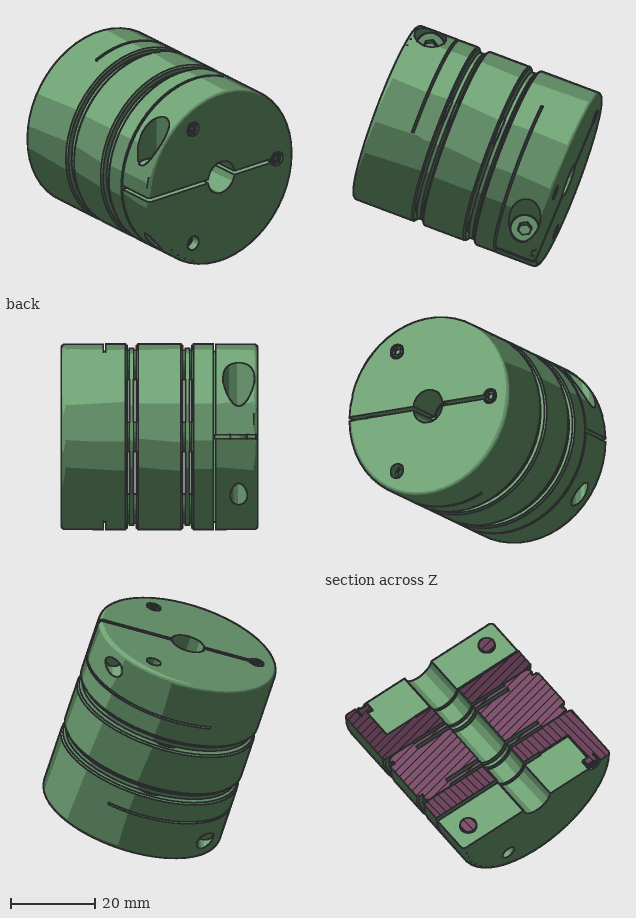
import cadquery as cq
import math

length = 46.6
outer_diameter = 44.0
bore_diameter = 8.0
fixing_radius = 17.0

spacer_half = 5.45
disc_inner = 6.15
disc_outer = 7.15
hub_inner = 7.7
hub_outer = length / 2

disc_diameter = 42.0
collar_diameter = 7.0
collar_count = 4
inner_chamfer = 0.4

end_fillet = 1.0
cross_slit_x = 13.05
cross_slit_width = 0.5
cross_slit_end = 8.65
jaw_slit_width = 1.0

clamp_x = 18.8
clamp_seat_z = 2.6
clamp_bore_diameter = 7.5
clamp_clearance_diameter = 4.5
clamp_thread_diameter = 4.0
clamp_head_diameter = 7.0
clamp_head_height = 4.0
clamp_head_chamfer = 0.2
clamp_shank_length = 12.0
clamp_hex_width = 3.0
clamp_hex_depth = 2.0

end_hole_diameter = 3.5
end_hole_depth = 2.5
end_tap_diameter = 2.45
plug_diameter = 3.0
plug_recess = 0.3
plug_chamfer = 0.2
plug_hex_width = 1.5
plug_hex_depth = 0.5
open_hole_angle = -120
plugs = [(120, 90), (0, 0)]


def x_cylinder(diameter, x_start, x_end, y=0, z=0):
    """Cylinder along X between two stations."""
    return cq.Workplane("YZ", origin=(x_start, y, z)).circle(diameter / 2).extrude(x_end - x_start)


def z_cylinder(diameter, z_start, z_end):
    """Cylinder along Z on the clamp screw axis of the +X hub."""
    base = cq.Workplane("XY", origin=(clamp_x, -fixing_radius, z_start))
    return base.circle(diameter / 2).extrude(z_end - z_start)


def hexagon(workplane, width, corner_angle, depth):
    """Hexagonal prism with the given width across flats."""
    corner_diameter = width / math.cos(math.radians(30))
    return workplane.transformed(rotate=(0, 0, corner_angle)).polygon(6, corner_diameter).extrude(depth)


def on_fixing_circle(angle):
    """Y and Z of a point on the fixing circle, with the angle counted from +Y towards +Z."""
    angle = math.radians(angle)
    return fixing_radius * math.cos(angle), fixing_radius * math.sin(angle)


def opposite(body):
    """Copy of a +X body for the -X end, turned half a turn about Z."""
    return body.rotate((0, 0, 0), (0, 0, 1), 180)


def make_center():
    """Spacer drum with a disc at each end, joined by collars that reach the hub faces."""
    body = x_cylinder(outer_diameter, -spacer_half, spacer_half).edges().chamfer(inner_chamfer)
    disc = x_cylinder(disc_diameter, disc_inner, disc_outer)
    body = body.union(disc).union(opposite(disc))
    for i in range(collar_count):
        y, z = on_fixing_circle(i * 360 / collar_count)
        body = body.union(x_cylinder(collar_diameter, -hub_inner, hub_inner, y, z))
    return body.cut(x_cylinder(bore_diameter, -hub_outer, hub_outer))


def cut_slits(hub):
    """Cross slit from the clamp side past the axis, and jaw slit from the end face to it."""
    cross_length = outer_diameter / 2 + cross_slit_end
    cross_slit = cq.Workplane("XY").box(cross_slit_width, cross_length, outer_diameter)
    cross_slit = cross_slit.translate((cross_slit_x, cross_slit_end - cross_length / 2, 0))
    jaw_length = outer_diameter / 2 + fixing_radius
    jaw_depth = hub_outer - cross_slit_x
    jaw_slit = cq.Workplane("XY").box(jaw_depth, jaw_length, jaw_slit_width)
    jaw_slit = jaw_slit.translate((hub_outer - jaw_depth / 2, fixing_radius - jaw_length / 2, 0))
    return hub.cut(cross_slit).cut(jaw_slit)


def cut_clamp_hole(hub):
    """Head bore from above, clearance hole down to the jaw slit, threaded hole below it."""
    hub = hub.cut(z_cylinder(clamp_bore_diameter, clamp_seat_z, outer_diameter / 2))
    hub = hub.cut(z_cylinder(clamp_clearance_diameter, 0, clamp_seat_z))
    return hub.cut(z_cylinder(clamp_thread_diameter, -outer_diameter / 2, 0))


def end_hole(angle):
    y, z = on_fixing_circle(angle)
    return x_cylinder(end_hole_diameter, hub_outer - end_hole_depth, hub_outer, y, z)


def screw_plug(angle, corner_angle):
    """Fixed screw that stands in an end hole, with a hexagon socket."""
    y, z = on_fixing_circle(angle)
    face_x = hub_outer - plug_recess
    plug = x_cylinder(plug_diameter, hub_outer - end_hole_depth, face_x, y, z)
    plug = plug.faces(">X").chamfer(plug_chamfer)
    socket_plane = cq.Workplane("YZ", origin=(face_x, y, z))
    return plug.cut(hexagon(socket_plane, plug_hex_width, corner_angle, -plug_hex_depth))


def make_hub():
    """Clamping hub of the +X end."""
    hub = x_cylinder(outer_diameter, hub_inner, hub_outer)
    hub = hub.faces(">X").edges().fillet(end_fillet)
    hub = hub.faces("<X").edges().chamfer(inner_chamfer)
    hub = hub.cut(x_cylinder(bore_diameter, hub_inner, hub_outer))
    hub = cut_clamp_hole(cut_slits(hub))
    for angle, corner_angle in plugs:
        hub = hub.cut(end_hole(angle)).union(screw_plug(angle, corner_angle))
    y, z = on_fixing_circle(open_hole_angle)
    hub = hub.cut(end_hole(open_hole_angle))
    return hub.cut(x_cylinder(end_tap_diameter, cross_slit_x, hub_outer, y, z))


def make_clamp_screw():
    """Socket head screw of the +X hub."""
    head_top = clamp_seat_z + clamp_head_height
    head = z_cylinder(clamp_head_diameter, clamp_seat_z, head_top).faces(">Z").chamfer(clamp_head_chamfer)
    shank = z_cylinder(clamp_thread_diameter, clamp_seat_z - clamp_shank_length, clamp_seat_z)
    socket_plane = cq.Workplane("XY", origin=(clamp_x, -fixing_radius, head_top))
    return head.union(shank).cut(hexagon(socket_plane, clamp_hex_width, 90, -clamp_hex_depth))


center = make_center()
hub = make_hub()
clamp_screw = make_clamp_screw()

bodies = [center.val()]
for body in (hub, clamp_screw):
    bodies.append(body.val())
    bodies.append(opposite(body).val())

result = cq.Compound.makeCompound(bodies)